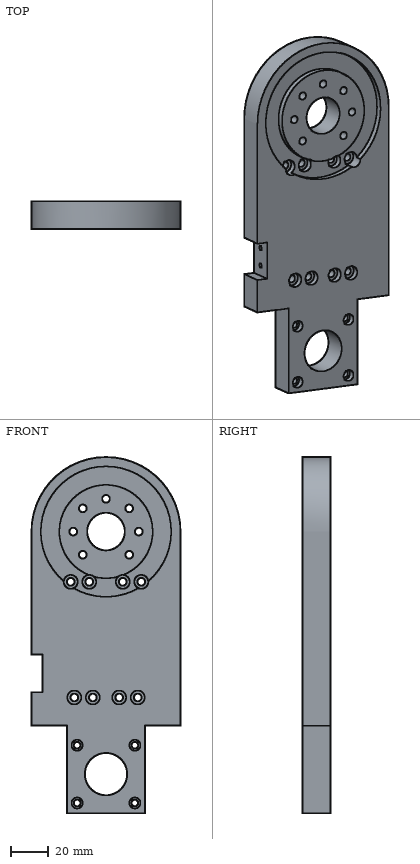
import cadquery as cq
import math

height = 191.0
width = 80.0
thickness = 15.0
head_radius = width / 2
head_z = height - head_radius
shoulder_z = 47.0
tab_width = 42.0

notch_depth = 6.0
notch_bottom_z = 65.0
notch_top_z = 85.0
sensor_hole_diameter = 2.5
sensor_hole_depth = 10.0
sensor_hole_spacing = 9.5
sensor_middle_z = 75.5

groove_outer_radius = 35.0
groove_inner_radius = 25.0
groove_depth = 4.0
hub_bore_diameter = 20.0
hub_hole_diameter = 4.0
hub_hole_circle_radius = 17.5
hub_hole_pitch_angle = 45
hub_hole_count = 7
hub_first_hole_angle = -45

row_hole_diameter = 4.0
row_counterbore_diameter = 7.5
lower_row_counterbore_depth = 4.0
upper_row_counterbore_depth = groove_depth + lower_row_counterbore_depth
upper_row_z = head_z - 27.0
upper_row_offsets = (9.0, 19.0)
lower_row_z = 62.0
lower_row_offsets = (7.0, 17.0)

motor_z = 21.0
motor_bore_diameter = 22.5
motor_hole_spacing = 31.0
motor_hole_diameter = 3.5
motor_counterbore_diameter = 6.0
motor_counterbore_depth = 4.0


def cylinder_from_front(points, diameter, depth):
    """Cylinders of the given depth, starting at the front face (y = 0) at (x, z) points."""
    return cq.Workplane("XZ").pushPoints(points).circle(diameter / 2).extrude(-depth)


def counterbores(points, hole_diameter, bore_diameter, bore_depth):
    """Cutters for through holes with a wider bore sunk into the front face."""
    holes = cylinder_from_front(points, hole_diameter, thickness)
    return holes.union(cylinder_from_front(points, bore_diameter, bore_depth))


def row_points(offsets, z):
    """Points mirrored about the middle of the plate at one height."""
    return [(side * offset, z) for side in (-1, 1) for offset in offsets]


def make_plate():
    """Round-headed plate with a narrow tab below and a notch in its -X edge."""
    return (
        cq.Workplane("XZ")
        .moveTo(-tab_width / 2, 0)
        .lineTo(tab_width / 2, 0)
        .lineTo(tab_width / 2, shoulder_z)
        .lineTo(width / 2, shoulder_z)
        .lineTo(width / 2, head_z)
        .threePointArc((0, height), (-width / 2, head_z))
        .lineTo(-width / 2, notch_top_z)
        .lineTo(-width / 2 + notch_depth, notch_top_z)
        .lineTo(-width / 2 + notch_depth, notch_bottom_z)
        .lineTo(-width / 2, notch_bottom_z)
        .lineTo(-width / 2, shoulder_z)
        .lineTo(-tab_width / 2, shoulder_z)
        .close()
        .extrude(-thickness)
    )


def cut_head(plate):
    """Annular groove, central bore and bolt circle; the lowest bolt position is left out."""
    center = [(0, head_z)]
    groove = cylinder_from_front(center, 2 * groove_outer_radius, groove_depth)
    groove = groove.cut(cylinder_from_front(center, 2 * groove_inner_radius, groove_depth))
    angles = [
        math.radians(hub_first_hole_angle + i * hub_hole_pitch_angle) for i in range(hub_hole_count)
    ]
    bolt_points = [
        (hub_hole_circle_radius * math.cos(a), head_z + hub_hole_circle_radius * math.sin(a))
        for a in angles
    ]
    return (
        plate.cut(groove)
        .cut(cylinder_from_front(center, hub_bore_diameter, thickness))
        .cut(cylinder_from_front(bolt_points, hub_hole_diameter, thickness))
    )


def cut_screw_rows(plate):
    """Two rows of four counterbored holes; the upper row is sunk deeper, below the groove floor."""
    rows = (
        (upper_row_offsets, upper_row_z, upper_row_counterbore_depth),
        (lower_row_offsets, lower_row_z, lower_row_counterbore_depth),
    )
    for offsets, z, bore_depth in rows:
        points = row_points(offsets, z)
        plate = plate.cut(
            counterbores(points, row_hole_diameter, row_counterbore_diameter, bore_depth)
        )
    return plate


def cut_motor_mount(plate):
    """Central bore with a counterbored hole at each corner of a square."""
    half = motor_hole_spacing / 2
    corners = row_points([half], motor_z - half) + row_points([half], motor_z + half)
    corner_holes = counterbores(
        corners, motor_hole_diameter, motor_counterbore_diameter, motor_counterbore_depth
    )
    bore = cylinder_from_front([(0, motor_z)], motor_bore_diameter, thickness)
    return plate.cut(bore).cut(corner_holes)


def cut_sensor_holes(plate):
    """Two blind holes running in +X from the notch floor, midway through the thickness."""
    floor_x = -width / 2 + notch_depth
    holes = (
        cq.Workplane("YZ", origin=(floor_x, thickness / 2, sensor_middle_z))
        .rarray(2, sensor_hole_spacing, 1, 2)
        .circle(sensor_hole_diameter / 2)
        .extrude(sensor_hole_depth)
    )
    return plate.cut(holes)


result = make_plate()
result = cut_head(result)
result = cut_screw_rows(result)
result = cut_motor_mount(result)
result = cut_sensor_holes(result)